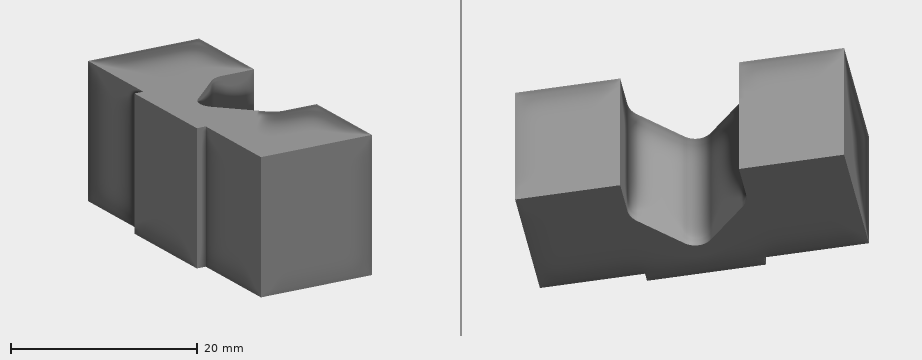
import cadquery as cq

length = 36.0
depth = 15.0
height = 16.0

notch_width = 13.0
tab_projection = 1.1

wall_depth = 5.05
shoulder_radius = 2.5
apex_radius = 2.0
half_notch = notch_width / 2
back_y = depth / 2
shoulder_y = back_y - wall_depth
apex_y = shoulder_y - half_notch


def make_body():
    """Rectangular block with the tab standing proud of its front face."""
    body_depth = depth - tab_projection
    body = cq.Workplane("XY").box(length, body_depth, height).translate((0, tab_projection / 2, 0))
    tab = cq.Workplane("XY").box(notch_width, depth, height)
    return body.union(tab)


def make_notch():
    """V-shaped cutter with its shoulders and apex rounded."""
    outline = [
        (-half_notch, back_y),
        (-half_notch, shoulder_y),
        (0, apex_y),
        (half_notch, shoulder_y),
        (half_notch, back_y),
    ]
    cutter = cq.Workplane("XY").polyline(outline).close().extrude(height / 2, both=True)
    cutter = cutter.edges("|Z").edges("<Y").fillet(apex_radius)
    for shoulder_x in (-half_notch, half_notch):
        shoulder = cq.NearestToPointSelector((shoulder_x, shoulder_y, 0))
        cutter = cutter.edges("|Z").edges(shoulder).fillet(shoulder_radius)
    return cutter


result = make_body().cut(make_notch())